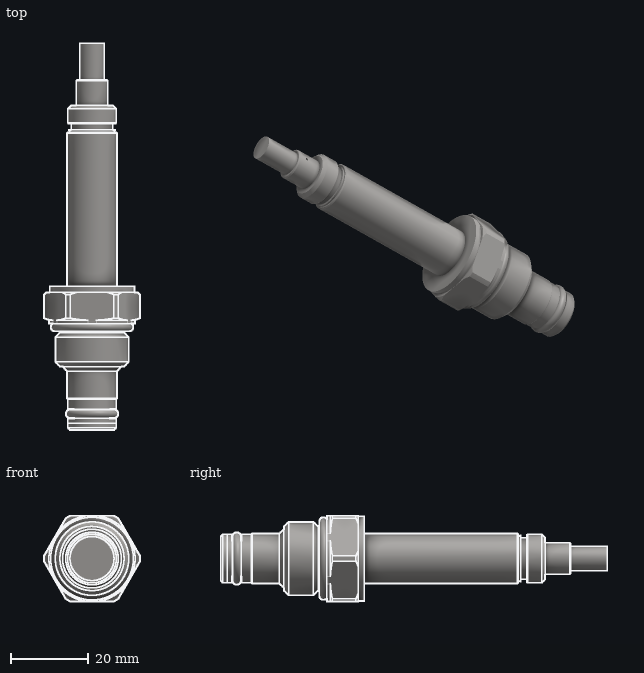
import cadquery as cq
import math


nose_radius = 6.3
nose_chamfer = 0.6
groove_start = 1.8
groove_end = 5.4
backup_ring_width = 1.2
nose_ring_section = 1.1
nose_ring_outer = 6.8
nose_end = 8.0

stem_radius = 6.5
stem_chamfer = 0.2
stem_end = 15.2

cone_radius = 7.6
thread_start = 16.4
thread_radius = 9.5
thread_chamfer = 1.2
thread_end = 25.3
thread_end_radius = thread_radius - thread_chamfer
neck_radius = 8.5

nut_ring_section = 1.1
nut_ring_mean = neck_radius + nut_ring_section
nut_ring_y = 26.7
nut_ring_seat_radius = 10.4

nut_start = 27.6
hex_start = 28.5
hex_end = 35.7
nut_end = 37.3
hex_apothem = 11.1
hex_corner_radius = 25.0 / 2
collar_flat_width = 2.2
front_collar_radius = math.hypot(hex_apothem, collar_flat_width / 2)
rear_collar_radius = 11.0
underside_height = 0.5
hex_chamfer_radius = 11.8
hex_chamfer_height = 0.6

tube_radius = 6.5
tube_chamfer = 0.3
tube_end = 77.2

tail_neck_radius = 5.4
lip_root_radius = 5.8
lip_radius = 6.0
lip_end = 77.8
end_collar_radius = 6.3
end_collar_start = 79.4
end_collar_back_chamfer = 0.2
end_collar_chamfer = 0.9
end_collar_end = 84.1

sleeve_radius = 4.1
sleeve_chamfer = 0.3
sleeve_end = 90.7
pin_radius = 3.2
total_length = 100.2

vent_diameter = 0.8
vent_y = 88.3
vent_depth = 1.0

nose_ring_mean = nose_ring_outer - nose_ring_section
groove_floor = nose_ring_mean - nose_ring_section
backup_ring_end = groove_start + backup_ring_width
nose_ring_y = (backup_ring_end + groove_end) / 2


def turned(points):
    """Solid of revolution about Y from (radius, y) points."""
    return cq.Workplane("XY").polyline(points).close().revolve(360, (0, 0, 0), (0, 1, 0))


def o_ring(mean_radius, section_radius, y):
    """Torus about Y, centred at height y."""
    section = cq.Workplane("XY").center(mean_radius, y).circle(section_radius)
    return section.revolve(360, (-mean_radius, 0, 0), (-mean_radius, 1, 0))


def front_end():
    """Nose, stem and threaded section, ending at the nut."""
    return turned([
        (0, 0),
        (nose_radius - nose_chamfer, 0),
        (nose_radius, nose_chamfer),
        (nose_radius, groove_start),
        (groove_floor, groove_start),
        (groove_floor, groove_end),
        (nose_radius, groove_end),
        (nose_radius, nose_end),
        (stem_radius, nose_end + stem_chamfer),
        (stem_radius, stem_end),
        (cone_radius, thread_start),
        (thread_end_radius, thread_start),
        (thread_radius, thread_start + thread_chamfer),
        (thread_radius, thread_end - thread_chamfer),
        (thread_end_radius, thread_end),
        (neck_radius, thread_end),
        (neck_radius, hex_start),
        (0, hex_start),
    ])


def nut():
    """Turned nut blank, cut to a hexagon with two flats facing up and down."""
    seat_y = nut_ring_y + nut_ring_section
    blank = turned([
        (0, seat_y),
        (nut_ring_seat_radius, seat_y),
        (nut_ring_seat_radius, nut_start),
        (front_collar_radius, nut_start),
        (front_collar_radius, hex_start),
        (hex_corner_radius, hex_start + underside_height),
        (hex_corner_radius, hex_end - hex_chamfer_height),
        (hex_chamfer_radius, hex_end),
        (rear_collar_radius, hex_end),
        (rear_collar_radius, nut_end),
        (0, nut_end),
    ])
    across_corners = 2 * hex_apothem / math.cos(math.pi / 6)
    hexagon = cq.Workplane("XZ").polygon(6, across_corners).extrude(-nut_end)
    return blank.intersect(hexagon)


def rear_end():
    """Guide tube, end collar, sleeve and pin, starting inside the nut."""
    return turned([
        (0, hex_end),
        (tube_radius, hex_end),
        (tube_radius, tube_end - tube_chamfer),
        (tube_radius - tube_chamfer, tube_end),
        (lip_root_radius, tube_end),
        (lip_radius, lip_end),
        (tail_neck_radius, lip_end),
        (tail_neck_radius, end_collar_start),
        (end_collar_radius - end_collar_back_chamfer, end_collar_start),
        (end_collar_radius, end_collar_start + end_collar_back_chamfer),
        (end_collar_radius, end_collar_end - end_collar_chamfer),
        (end_collar_radius - end_collar_chamfer, end_collar_end),
        (sleeve_radius, end_collar_end),
        (sleeve_radius, sleeve_end - sleeve_chamfer),
        (sleeve_radius - sleeve_chamfer, sleeve_end),
        (pin_radius, sleeve_end),
        (pin_radius, total_length),
        (0, total_length),
    ])


def vent_hole():
    """Blind hole drilled into the sleeve from the -X side."""
    start = cq.Workplane("YZ", origin=(-sleeve_radius, vent_y, 0))
    return start.circle(vent_diameter / 2).extrude(vent_depth)


def backup_ring():
    """Flat ring flush with the nose, filling its groove ahead of the O-ring."""
    return turned([
        (groove_floor, groove_start),
        (nose_radius, groove_start),
        (nose_radius, backup_ring_end),
        (groove_floor, backup_ring_end),
    ])


valve_body = front_end().union(nut()).union(rear_end()).cut(vent_hole())
nose_backup_ring = backup_ring()
nose_o_ring = o_ring(nose_ring_mean, nose_ring_section, nose_ring_y)
nut_o_ring = o_ring(nut_ring_mean, nut_ring_section, nut_ring_y)

result = cq.Compound.makeCompound([
    valve_body.val(),
    nose_backup_ring.val(),
    nose_o_ring.val(),
    nut_o_ring.val(),
])